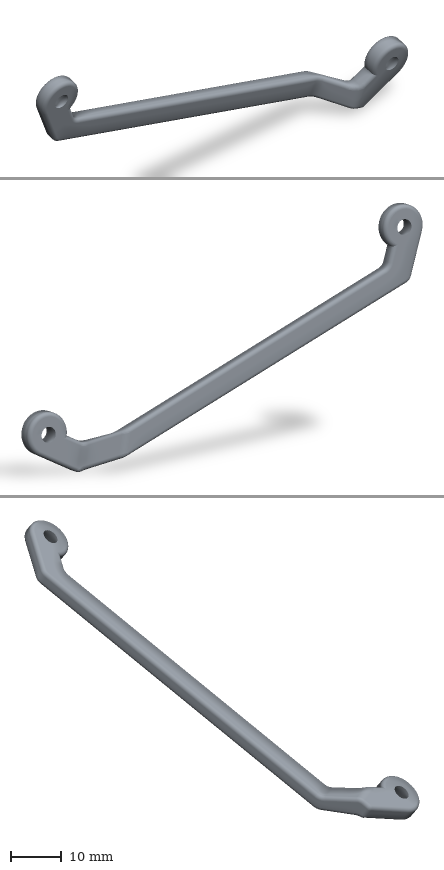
import cadquery as cq
import math

HOLE_DIAMETER = 3.2
EAR_DIAMETER = 9.0
EAR_RADIUS = EAR_DIAMETER / 2
TOTAL_LENGTH = 87.2
EAR_SPAN_Y = TOTAL_LENGTH - EAR_DIAMETER
EAR_SPAN_Z = 35.05
ARM_WIDTH = 5.8
ARM_ANGLE = math.radians(50)
BAR_WIDTH = 5.0
BAR_DEPTH = 10.6
BEND_RADIUS = 2.0
LOW_BEND_RADIUS = 1.05

TOTAL_WIDTH = 9.0
BAR_THICKNESS = 3.05
LUG_THICKNESS = 3.6
JOG_LENGTH = 5.9
RIGHT_LUG_FOLD = 2.8
RIGHT_BAR_FOLD = 9.0
FOLD_RADIUS = 2.1
EDGE_RADIUS = 0.8

SPAN = math.hypot(EAR_SPAN_Y, EAR_SPAN_Z)
COS_SLOPE = EAR_SPAN_Y / SPAN
SIN_SLOPE = EAR_SPAN_Z / SPAN
REACH = 2 * TOTAL_LENGTH

side_plane = cq.Plane(origin=(0, 0, 0), xDir=(0, COS_SLOPE, -SIN_SLOPE), normal=(1, 0, 0))


def arm_point(offset, v):
    """Point at height v on a line along the high arm, offset outward from the ear centre."""
    u = -(offset + v * math.cos(ARM_ANGLE)) / math.sin(ARM_ANGLE)
    return (u, v)


def mirrored(point):
    return (SPAN - point[0], point[1])


INNER_OFFSET = EAR_RADIUS - ARM_WIDTH
outer_start = (-EAR_RADIUS * math.sin(ARM_ANGLE), -EAR_RADIUS * math.cos(ARM_ANGLE))
inner_start = (-INNER_OFFSET * math.sin(ARM_ANGLE), -INNER_OFFSET * math.cos(ARM_ANGLE))
outer_corner = arm_point(EAR_RADIUS, -BAR_DEPTH)
inner_corner = arm_point(INNER_OFFSET, BAR_WIDTH - BAR_DEPTH)


def side_outline():
    """Solid with the side shape of the link, over the full width."""
    half = [inner_corner, inner_start, outer_start, outer_corner]
    other_half = [mirrored(point) for point in reversed(half)]
    strip = cq.Workplane(side_plane).polyline(half + other_half).close().extrude(TOTAL_WIDTH)
    bends = [
        (inner_corner, BEND_RADIUS),
        (outer_corner, BEND_RADIUS),
        (mirrored(inner_corner), BEND_RADIUS),
        (mirrored(outer_corner), LOW_BEND_RADIUS),
    ]
    for (u, v), radius in bends:
        bend_middle = side_plane.toWorldCoords((u, v, TOTAL_WIDTH / 2))
        bend_edge = cq.selectors.NearestToPointSelector(bend_middle.toTuple())
        strip = strip.edges(bend_edge).fillet(radius)
    ears = cq.Workplane(side_plane).pushPoints([(0, 0), (SPAN, 0)]).circle(EAR_RADIUS).extrude(TOTAL_WIDTH)
    return strip.union(ears)


low_outer = side_plane.toWorldCoords(mirrored(outer_corner))
low_inner = side_plane.toWorldCoords(mirrored(inner_corner))


def folded_block(fold_axis, bar_fold, lug_fold, back):
    """Block bounded by one jogged face and by a flat back at the given X.

    Each fold is given as its X and its distance from the low bend toward the bar.
    """
    fold_plane = cq.Plane(origin=low_outer, xDir=(1, 0, 0), normal=-fold_axis)
    profile = [
        (back, REACH),
        (bar_fold[0], REACH),
        bar_fold,
        lug_fold,
        (lug_fold[0], -REACH),
        (back, -REACH),
    ]
    block = cq.Workplane(fold_plane).polyline(profile).close().extrude(REACH, both=True)
    near_jog = cq.selectors.BoxSelector(
        low_outer - cq.Vector(SPAN, SPAN / 2, SPAN),
        low_outer + cq.Vector(SPAN, SPAN / 2, SPAN),
    )
    along_fold = cq.selectors.ParallelDirSelector(fold_axis)
    return block.edges(along_fold).edges(near_jog).fillet(FOLD_RADIUS)


mitre_axis = (low_inner - low_outer).normalized()
square_axis = side_plane.yDir
left_face = folded_block(
    mitre_axis, (0, JOG_LENGTH), (TOTAL_WIDTH - LUG_THICKNESS, 0), 2 * TOTAL_WIDTH
)
right_face = folded_block(
    square_axis, (BAR_THICKNESS, RIGHT_BAR_FOLD), (TOTAL_WIDTH, RIGHT_LUG_FOLD), -TOTAL_WIDTH
)

link = side_outline().intersect(left_face).intersect(right_face)

across = cq.selectors.ParallelDirSelector(cq.Vector(1, 0, 0))
along_folds = cq.selectors.ParallelDirSelector(mitre_axis) + cq.selectors.ParallelDirSelector(square_axis)
rim = link.edges(-(across + along_folds))
link = rim.fillet(EDGE_RADIUS)

holes = (
    cq.Workplane(side_plane)
    .pushPoints([(0, 0), (SPAN, 0)])
    .circle(HOLE_DIAMETER / 2)
    .extrude(TOTAL_WIDTH)
)
result = link.cut(holes)